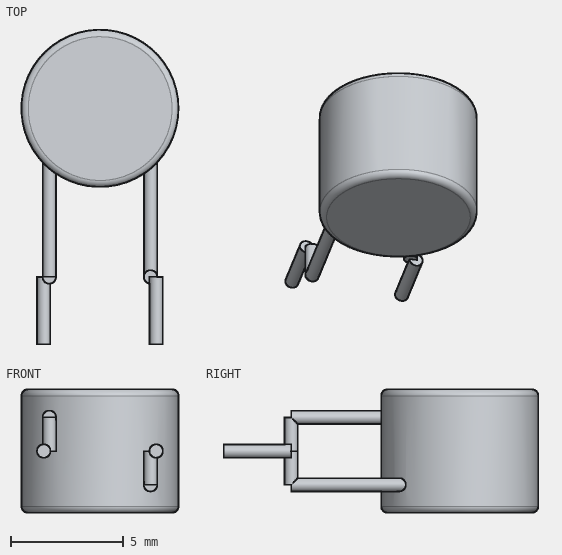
import cadquery as cq

body_diameter = 7.0
body_height = 5.5
body_edge_radius = 0.3

wire_diameter = 0.6
overall_length = 14.0
tip_length = 3.0
lead_spacing = 4.5
tip_spacing = 5.0
lead_offset_z = 1.5

tip_end_y = body_diameter / 2 - overall_length
bend_y = tip_end_y + tip_length


def make_body():
    cylinder = cq.Workplane("XY").cylinder(body_height, body_diameter / 2)
    return cylinder.faces("|Z").edges().fillet(body_edge_radius)


def make_wire(start, end):
    """Straight round wire with flat ends, between two points."""
    axis = cq.Vector(*end) - cq.Vector(*start)
    wire = cq.Solid.makeCylinder(wire_diameter / 2, axis.Length, cq.Vector(*start), axis)
    return cq.Workplane(wire)


def make_lead(side):
    """Cranked lead: side -1 starts high on the -X side, side +1 low on the +X side."""
    lead_x = side * lead_spacing / 2
    lead_z = -side * lead_offset_z
    tip_x = side * tip_spacing / 2

    lead = make_wire((lead_x, 0, lead_z), (lead_x, bend_y, lead_z))
    riser = make_wire((lead_x, bend_y, lead_z), (lead_x, bend_y, 0))
    tip = make_wire((tip_x, bend_y, 0), (tip_x, tip_end_y, 0))
    return lead.union(riser).union(tip)


result = make_body()
for side in (-1, 1):
    result = result.union(make_lead(side))